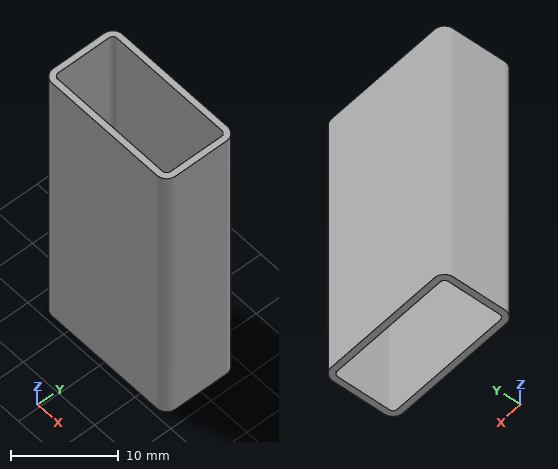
import cadquery as cq

width = 17.13
depth = 8.77
height = 34.55

wall = 0.73
outer_radius = 1.25
inner_radius = outer_radius - wall


def rounded_bar(size_x, size_y, corner_radius):
    """Upright bar centred on Z, with its four vertical edges rounded."""
    bar = cq.Workplane("XY").rect(size_x, size_y).extrude(height)
    return bar.edges("|Z").fillet(corner_radius)


outer_body = rounded_bar(width, depth, outer_radius)
bore = rounded_bar(width - 2 * wall, depth - 2 * wall, inner_radius)

result = outer_body.cut(bore)